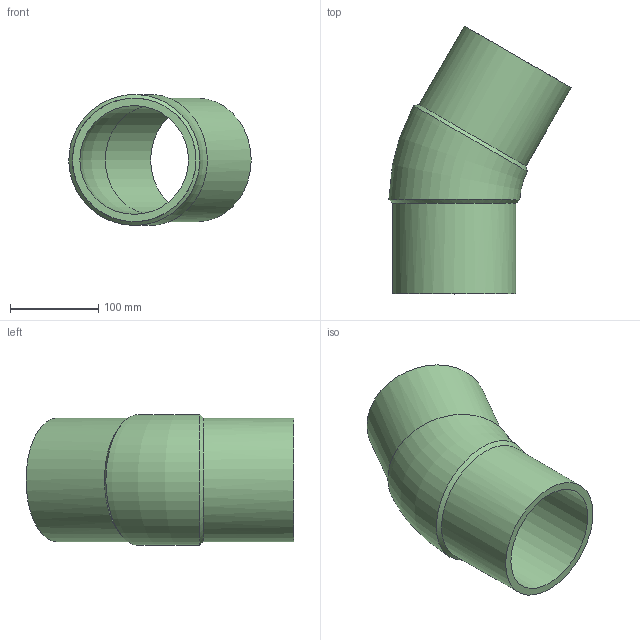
import cadquery as cq
import math

pipe_diameter = 140.0
wall = 8.4
bore_diameter = pipe_diameter - 2 * wall

bend_angle = 30.0
bend_radius = 154.0
bend_step = wall / 2
bend_diameter = pipe_diameter + 2 * bend_step

centre_to_end = 144.0
tangent_length = bend_radius * math.tan(math.radians(bend_angle / 2))
end_length = centre_to_end - tangent_length


def straight_end(diameter):
    """Cylinder running from the start of the bend towards -Y."""
    return cq.Workplane("XZ").circle(diameter / 2).extrude(end_length)


def bend(diameter):
    """Torus section turning from +Y towards +X, about an axis parallel to Z."""
    section = cq.Workplane("XZ").circle(diameter / 2)
    return section.revolve(bend_angle, (bend_radius, 1, 0), (bend_radius, 0, 0))


def at_far_end(shape):
    """Carry a shape from the start of the bend to the end of the bend."""
    pivot = (bend_radius, 0, 0)
    pivot_top = (bend_radius, 0, 1)
    return shape.mirror("XZ").rotate(pivot, pivot_top, -bend_angle)


def pipe_run(diameter, middle):
    """Join a straight end to each side of a bend."""
    near_end = straight_end(diameter)
    return middle.union(near_end).union(at_far_end(near_end))


chamfered_bend = bend(bend_diameter).faces("%PLANE").edges().chamfer(bend_step)

outside = pipe_run(pipe_diameter, chamfered_bend)
bore = pipe_run(bore_diameter, bend(bore_diameter))
result = outside.cut(bore)